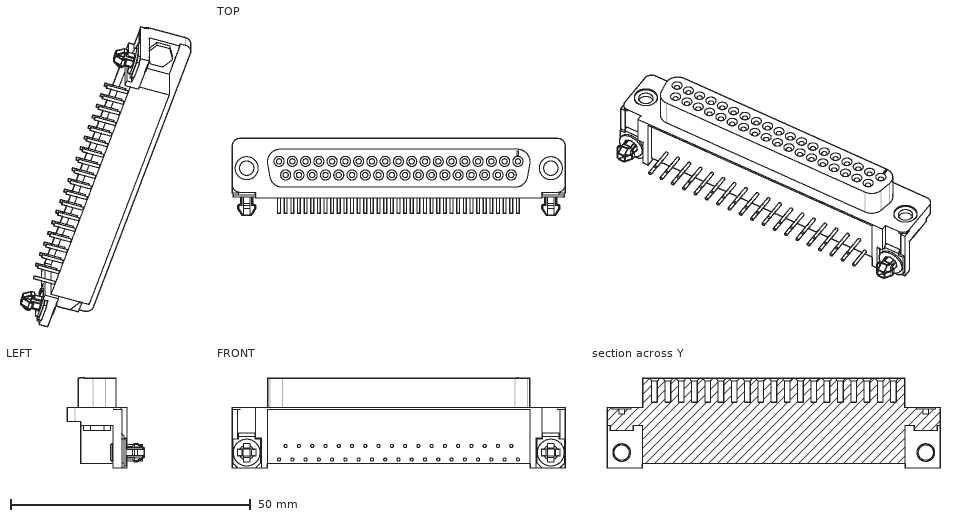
import cadquery as cq
import math


LENGTH = 69.55
DEPTH = 12.5
FLANGE_THICK = 2.97
CORNER_RADIUS = 1.6
HALF_LENGTH = LENGTH / 2
FRONT_Y = -DEPTH / 2
BACK_Y = DEPTH / 2

SHELL_HEIGHT = 6.1
SHELL_HALF_WIDTH = 27.4
SHELL_HALF_DEPTH = 3.97
SHELL_RADIUS = 2.65
SHELL_SIDE_ANGLE = math.radians(10)

CONTACT_PITCH = 2.77
CONTACT_OFFSET_X = -0.06
ROW_COUNTS = (19, 18)
SOCKET_ROW_Y = (1.42, -1.42)
SOCKET_MOUTH_DIA = 2.1
SOCKET_BORE_DIA = 1.1
SOCKET_TAPER_DEPTH = 0.6
SOCKET_DEPTH = 5.0
PIN_ROW_Z = (-10.9, -8.06)
PIN_DIA = 0.65
PIN_TIP_Y = -9.45

MARK_WIDTH = 0.3
MARK_LENGTH = 0.95
MARK_HEIGHT = 0.13
MARK_Y = 3.13

BODY_BACK_Y = 3.45
BODY_BOTTOM_Z = -11.75
PANEL_Y = -4.9
LIP_THICK = 0.43
END_LEDGE_Z = -3.82

FOOT_BACK_Y = -3.28
FOOT_BOTTOM_Z = -12.7
FOOT_INNER_X = SHELL_HALF_WIDTH
STRIP_Y = -5.17
STRIP_WIDTH = 1.09
CHANNEL_Y = -5.03
CHANNEL_INNER_X = HALF_LENGTH - 4.88
POCKET_INNER_X = HALF_LENGTH - 6.14
POCKET_TOP_Z = -6.4

SCREW_X = 31.75
SCREW_DIA = 3.0
SCREW_DEPTH = 1.35
SCREW_RECESS_DIA = 4.8
SCREW_RECESS_DEPTH = 0.35
NUT_CORNER_DIA = 5.6
NUT_BOTTOM_Z = -4.88

LOCK_Z = -9.45
PLATE_HALF_WIDTH = 2.87
PLATE_TOP_Z = -6.6
PLATE_BOTTOM_Z = -12.65
PLATE_CHAMFER = 1.0
PLATE_FRONT_Y = -5.65
TAB_HALF_WIDTH = 1.7
TAB_TOP_Z = -5.4
TAB_SHOULDER_Z = -6.05
DISC_DIA = 5.6
DISC_FRONT_Y = -6.05
DISC_HOLE_DIA = 3.1
LEG_WIDTH = 1.42
LEG_COUNT = 4
LEG_SHANK_RADIUS = 1.3
LEG_SHANK_INNER_RADIUS = 1.02
LEG_BARB_RADIUS = 1.93
LEG_BARB_INNER_RADIUS = 1.65
LEG_TIP_RADIUS = 1.0
LEG_TIP_INNER_RADIUS = 0.75
LEG_FLARE_Y = -7.4
LEG_BARB_START_Y = -7.75
LEG_BARB_END_Y = -8.42
LEG_REACH = 3.6
LEG_TIP_Y = FRONT_Y - LEG_REACH
RIVET_DIA = 3.7
RIVET_HEIGHT = 0.45
RIVET_CHAMFER = 0.25


def box(x_range, y_range, z_range):
    """Axis-aligned box spanning the given ranges."""
    lengths = [high - low for low, high in (x_range, y_range, z_range)]
    lows = (x_range[0], y_range[0], z_range[0])
    return cq.Workplane("XY").box(*lengths, centered=False).translate(lows)


def rod(x, z, y_start, y_end, diameter):
    """Round bar along Y, from y_start down to y_end."""
    plane = cq.Workplane("XZ", origin=(x, y_start, z))
    return plane.circle(diameter / 2).extrude(y_start - y_end)


def both_ends(shape):
    """The given +X end feature together with its mirror image at -X."""
    return shape.union(shape.mirror("YZ"))


def row_x(count):
    """X places of one contact row, centred on the contact pattern."""
    first_x = CONTACT_OFFSET_X - (count - 1) / 2 * CONTACT_PITCH
    return [first_x + index * CONTACT_PITCH for index in range(count)]


def flange():
    plate = box((-HALF_LENGTH, HALF_LENGTH), (FRONT_Y, BACK_Y), (-FLANGE_THICK, 0))
    plate = plate.edges("|Z and >Y").fillet(CORNER_RADIUS)
    step = box((-FOOT_INNER_X, FOOT_INNER_X), (FRONT_Y, PANEL_Y), (-FLANGE_THICK, -LIP_THICK))
    return plate.cut(step)


def shell():
    arc_center_x = SHELL_HALF_WIDTH - SHELL_RADIUS
    side_x = arc_center_x + SHELL_RADIUS / math.cos(SHELL_SIDE_ANGLE)
    arc_center_y = SHELL_HALF_DEPTH - SHELL_RADIUS
    slope = math.tan(SHELL_SIDE_ANGLE)
    back_x = side_x + (SHELL_HALF_DEPTH - arc_center_y) * slope
    front_x = side_x - (SHELL_HALF_DEPTH + arc_center_y) * slope
    corners = [
        (-back_x, SHELL_HALF_DEPTH),
        (back_x, SHELL_HALF_DEPTH),
        (front_x, -SHELL_HALF_DEPTH),
        (-front_x, -SHELL_HALF_DEPTH),
    ]
    solid = cq.Workplane("XY").polyline(corners).close().extrude(SHELL_HEIGHT)
    return solid.edges("|Z").fillet(SHELL_RADIUS)


def contact_one_mark():
    x = row_x(ROW_COUNTS[0])[-1]
    mark = cq.Workplane("XY").box(MARK_WIDTH, MARK_LENGTH, MARK_HEIGHT, centered=(True, True, False))
    return mark.translate((x, MARK_Y, SHELL_HEIGHT))


def socket_holes():
    """Contact holes, each with a conical lead-in."""
    mouth = SOCKET_MOUTH_DIA / 2
    bore = SOCKET_BORE_DIA / 2
    outline = [(0, 0), (mouth, 0), (bore, -SOCKET_TAPER_DEPTH), (bore, -SOCKET_DEPTH), (0, -SOCKET_DEPTH)]
    hole = cq.Workplane("XZ").polyline(outline).close().revolve(360, (0, 0), (0, 1)).val()
    places = [(x, y) for count, y in zip(ROW_COUNTS, SOCKET_ROW_Y) for x in row_x(count)]
    holes = [hole.translate(cq.Vector(x, y, SHELL_HEIGHT)) for x, y in places]
    return cq.Workplane(cq.Compound.makeCompound(holes))


def body():
    middle = box((-SHELL_HALF_WIDTH, SHELL_HALF_WIDTH), (PANEL_Y, BODY_BACK_Y), (BODY_BOTTOM_Z, -LIP_THICK))
    ledge = box((FOOT_INNER_X, HALF_LENGTH), (FRONT_Y, BODY_BACK_Y), (END_LEDGE_Z, -LIP_THICK))
    foot = box((FOOT_INNER_X, HALF_LENGTH), (FRONT_Y, FOOT_BACK_Y), (FOOT_BOTTOM_Z, -LIP_THICK))
    return middle.union(both_ends(ledge.union(foot)))


def foot_recesses():
    """Material removed from the front of both feet for the board locks."""
    strip_inner_x = HALF_LENGTH - STRIP_WIDTH
    full_height = (FOOT_BOTTOM_Z, 0)
    strip = box((strip_inner_x, HALF_LENGTH), (FRONT_Y, STRIP_Y), full_height)
    channel = box((CHANNEL_INNER_X, strip_inner_x), (FRONT_Y, CHANNEL_Y), full_height)
    pocket = box((POCKET_INNER_X, CHANNEL_INNER_X), (FRONT_Y, STRIP_Y), (FOOT_BOTTOM_Z, POCKET_TOP_Z))
    corner_x = HALF_LENGTH - CORNER_RADIUS
    corner_y = CHANNEL_Y + CORNER_RADIUS
    corner = box((corner_x, HALF_LENGTH), (FRONT_Y, corner_y), (-LIP_THICK, 0))
    round_plane = cq.Workplane("XY", origin=(corner_x, corner_y, -LIP_THICK))
    corner = corner.cut(round_plane.circle(CORNER_RADIUS).extrude(LIP_THICK))
    return both_ends(strip.union(channel).union(pocket).union(corner))


def nuts():
    nut = cq.Workplane("XY").polygon(6, NUT_CORNER_DIA).extrude(END_LEDGE_Z - NUT_BOTTOM_Z)
    nut = nut.rotate((0, 0, 0), (0, 0, 1), 90)
    return both_ends(nut.translate((SCREW_X, 0, NUT_BOTTOM_Z)))


def screw_holes():
    plane = cq.Workplane("XY", origin=(SCREW_X, 0, 0))
    recess = plane.circle(SCREW_RECESS_DIA / 2).extrude(-SCREW_RECESS_DEPTH)
    bore = plane.circle(SCREW_DIA / 2).extrude(-SCREW_DEPTH)
    return both_ends(recess.union(bore))


def solder_pins():
    pins = cq.Workplane("XY")
    for count, z in zip(ROW_COUNTS, PIN_ROW_Z):
        for x in row_x(count):
            pins.add(rod(x, z, PANEL_Y + PIN_DIA, PIN_TIP_Y, PIN_DIA))
    return pins.combine()


def lock_legs():
    """Barbed spring legs around the lock axis, open between them at the tip."""
    outline = [
        (LEG_SHANK_INNER_RADIUS, CHANNEL_Y),
        (LEG_SHANK_RADIUS, CHANNEL_Y),
        (LEG_SHANK_RADIUS, LEG_FLARE_Y),
        (LEG_BARB_RADIUS, LEG_BARB_START_Y),
        (LEG_BARB_RADIUS, LEG_BARB_END_Y),
        (LEG_TIP_RADIUS, LEG_TIP_Y),
        (LEG_TIP_INNER_RADIUS, LEG_TIP_Y),
        (LEG_BARB_INNER_RADIUS, LEG_BARB_END_Y),
        (LEG_BARB_INNER_RADIUS, LEG_BARB_START_Y),
        (LEG_SHANK_INNER_RADIUS, LEG_BARB_START_Y),
    ]
    leg = cq.Workplane("XY").polyline(outline).close().extrude(LEG_WIDTH / 2, both=True)
    legs = leg
    for index in range(1, LEG_COUNT):
        legs = legs.union(leg.rotate((0, 0, 0), (0, 1, 0), index * 360 / LEG_COUNT))
    return legs.translate((SCREW_X, 0, LOCK_Z))


def board_locks():
    plate_x = (SCREW_X - PLATE_HALF_WIDTH, SCREW_X + PLATE_HALF_WIDTH)
    plate = box(plate_x, (PLATE_FRONT_Y, CHANNEL_Y), (PLATE_BOTTOM_Z, PLATE_TOP_Z))
    plate = plate.edges("|Y and <Z").chamfer(PLATE_CHAMFER)
    tab_outline = [
        (CHANNEL_Y, PLATE_TOP_Z),
        (CHANNEL_Y, TAB_TOP_Z),
        (PLATE_FRONT_Y, TAB_SHOULDER_Z),
        (PLATE_FRONT_Y, PLATE_TOP_Z),
    ]
    tab_plane = cq.Workplane("YZ", origin=(SCREW_X, 0, 0))
    tab = tab_plane.polyline(tab_outline).close().extrude(TAB_HALF_WIDTH, both=True)
    disc = rod(SCREW_X, LOCK_Z, PLATE_FRONT_Y, DISC_FRONT_Y, DISC_DIA)
    disc = disc.cut(rod(SCREW_X, LOCK_Z, PLATE_FRONT_Y, DISC_FRONT_Y, DISC_HOLE_DIA))
    rivet = rod(SCREW_X, LOCK_Z, FOOT_BACK_Y + RIVET_HEIGHT, FOOT_BACK_Y, RIVET_DIA)
    rivet = rivet.faces(">Y").chamfer(RIVET_CHAMFER)
    lock = plate.union(tab).union(disc).union(rivet).union(lock_legs())
    return both_ends(lock)


housing = flange().union(body()).cut(foot_recesses()).union(nuts())
housing = housing.cut(screw_holes())
mating_shell = shell().cut(socket_holes()).union(contact_one_mark())
result = housing.union(mating_shell).union(solder_pins()).union(board_locks())